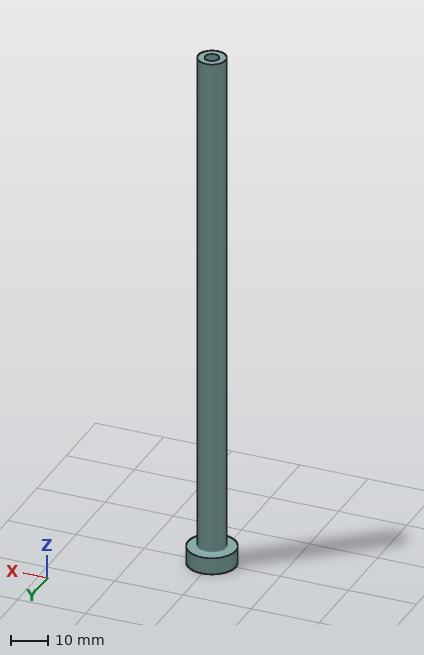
import cadquery as cq

overall_length = 155.0
head_diameter = 14.0
head_height = 5.0
shank_diameter = 8.0
bore_diameter = 4.0
neck_fillet_radius = 0.5


def sleeve_profile():
    """Half section in the XZ plane, from the bore wall outwards."""
    bore_radius = bore_diameter / 2
    head_radius = head_diameter / 2
    shank_radius = shank_diameter / 2
    return (
        cq.Workplane("XZ")
        .moveTo(bore_radius, 0)
        .lineTo(head_radius, 0)
        .lineTo(head_radius, head_height)
        .lineTo(shank_radius + neck_fillet_radius, head_height)
        .radiusArc((shank_radius, head_height + neck_fillet_radius), neck_fillet_radius)
        .lineTo(shank_radius, overall_length)
        .lineTo(bore_radius, overall_length)
        .close()
    )


result = sleeve_profile().revolve(360, (0, 0, 0), (0, 1, 0))